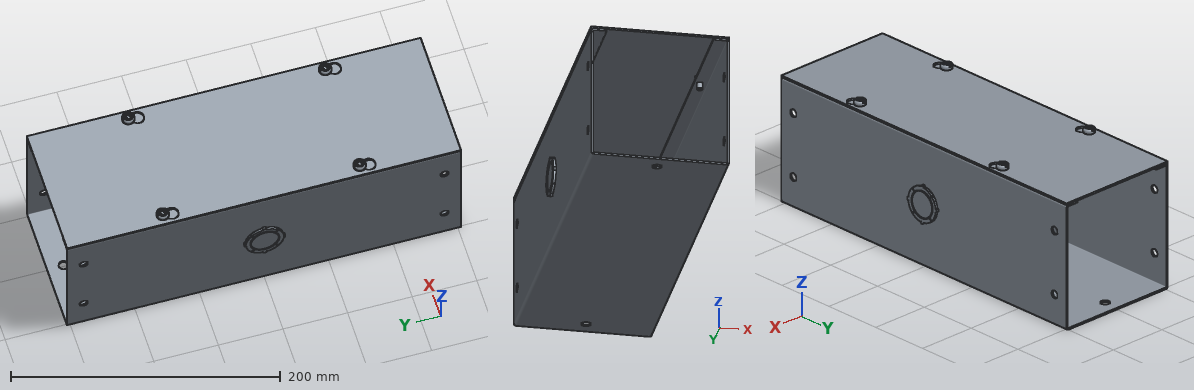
import cadquery as cq
import math

length = 304.8
overall_width = 108.2
overall_height = 108.8
knockout_height = 1.98
width = overall_width - 2 * knockout_height
sheet = 1.5
tray_height = 103.0
bend_outer = 2.0
bend_inner = bend_outer - sheet
flange_width = 12.0

end_hole_inset = 12.8
side_hole_diameter = 6.5
side_hole_spacing = 52.5
floor_hole_diameter = 7.3

knockout_radius = 14.5
knockout_groove_radius = 11.0
knockout_groove_width = 0.5
knockout_groove_depth = 0.3
nub_tip_radius = 16.0
nub_radius = 1.5
nub_count = 4
slit_width = 0.5
slit_count = 4
slit_start_angle = 45

screw_x = 44.5
screw_y = 76.2
shank_diameter = 4.5
shank_length = 8.2
shank_chamfer = 0.5
head_diameter = 9.5
head_height = overall_height - tray_height - sheet
head_rim_height = 1.8
head_top_diameter = 6.7
head_chamfer = 0.5
slot_width = 1.8
slot_depth = 1.5
cross_length = 4.3
cross_width = 2.5
keyhole_offset = 7.0
keyhole_diameter = 10.0

cover_top = tray_height + sheet
middle_z = tray_height / 2
screw_places = [(sx * screw_x, sy * screw_y) for sx in (-1, 1) for sy in (-1, 1)]


def make_knockout(side):
    """Raised disc with edge nubs, a ring groove and diagonal slits, on the wall at side * X."""
    base = cq.Workplane("YZ")
    groove_outer = knockout_groove_radius + knockout_groove_width / 2
    groove_inner = knockout_groove_radius - knockout_groove_width / 2
    disc = base.circle(knockout_radius).extrude(knockout_height)
    nubs = (
        base.polarArray(nub_tip_radius - nub_radius, 0, 360, nub_count)
        .circle(nub_radius).extrude(knockout_height)
    )
    groove = (
        base.workplane(offset=knockout_height - knockout_groove_depth)
        .circle(groove_outer).circle(groove_inner).extrude(knockout_groove_depth)
    )
    slit_length = knockout_radius - groove_outer
    slits = (
        base.polarArray(groove_outer + slit_length / 2, slit_start_angle, 360, slit_count)
        .rect(slit_length, slit_width).extrude(knockout_height)
    )
    knockout = disc.union(nubs).cut(groove).cut(slits)
    if side < 0:
        knockout = knockout.mirror("YZ")
    return knockout.translate((side * width / 2, 0, middle_z))


def make_tray():
    """Bent channel with a floor, two side walls and two inward top flanges."""
    outer = (
        cq.Workplane("XY").box(width, length, tray_height, centered=(True, True, False))
        .edges("|Y").fillet(bend_outer)
    )
    inner = (
        cq.Workplane("XY", origin=(0, 0, sheet))
        .box(width - 2 * sheet, length, tray_height - 2 * sheet, centered=(True, True, False))
        .edges("|Y").fillet(bend_inner)
    )
    opening = (
        cq.Workplane("XY", origin=(0, 0, middle_z))
        .box(width - 2 * flange_width, length, tray_height, centered=(True, True, False))
    )
    tray = outer.cut(inner).cut(opening)

    end_y = length / 2 - end_hole_inset
    side_holes = (
        cq.Workplane("YZ", origin=(0, 0, middle_z))
        .rect(2 * end_y, side_hole_spacing, forConstruction=True).vertices()
        .circle(side_hole_diameter / 2).extrude(width, both=True)
    )
    floor_holes = (
        cq.Workplane("XY").pushPoints([(0, -end_y), (0, end_y)])
        .circle(floor_hole_diameter / 2).extrude(sheet)
    )
    screw_holes = (
        cq.Workplane("XY", origin=(0, 0, middle_z)).pushPoints(screw_places)
        .circle(shank_diameter / 2).extrude(tray_height)
    )
    tray = tray.cut(side_holes).cut(floor_holes).cut(screw_holes)
    for side in (-1, 1):
        tray = tray.union(make_knockout(side))
    return tray


def make_cover():
    """Flat plate with a keyhole at each screw, wide end towards -Y."""
    cover = (
        cq.Workplane("XY", origin=(0, 0, tray_height))
        .box(width, length, sheet, centered=(True, True, False))
    )
    for x, y in screw_places:
        base = cq.Workplane("XY", origin=(x, y, tray_height))
        narrow_end = base.circle(shank_diameter / 2).extrude(sheet)
        neck = (
            base.center(0, -keyhole_offset / 2)
            .rect(shank_diameter, keyhole_offset).extrude(sheet)
        )
        wide_end = base.center(0, -keyhole_offset).circle(keyhole_diameter / 2).extrude(sheet)
        cover = cover.cut(narrow_end).cut(neck).cut(wide_end)
    return cover


def make_screw(x, y):
    """Domed-head screw with a through slot along Y crossed by a short slot along X."""
    shank_radius = shank_diameter / 2
    head_radius = head_diameter / 2
    top_radius = head_top_diameter / 2
    dome_middle_angle = math.radians(45)
    dome_middle_radius = top_radius + (head_radius - top_radius) * math.sin(dome_middle_angle)
    dome_height = head_height - head_rim_height
    dome_middle_z = head_rim_height + dome_height * math.sin(dome_middle_angle)
    screw = (
        cq.Workplane("XZ")
        .moveTo(0, -shank_length)
        .lineTo(shank_radius - shank_chamfer, -shank_length)
        .lineTo(shank_radius, shank_chamfer - shank_length)
        .lineTo(shank_radius, 0)
        .lineTo(head_radius - head_chamfer, 0)
        .lineTo(head_radius, head_chamfer)
        .lineTo(head_radius, head_rim_height)
        .threePointArc((dome_middle_radius, dome_middle_z), (top_radius, head_height))
        .lineTo(0, head_height)
        .close()
        .revolve(360, (0, 0, 0), (0, 1, 0))
    )
    slot_floor = cq.Workplane("XY", origin=(0, 0, head_height - slot_depth))
    slot = slot_floor.rect(slot_width, head_diameter).extrude(slot_depth)
    cross = slot_floor.rect(cross_length, cross_width).extrude(slot_depth)
    return screw.cut(slot.union(cross)).translate((x, y, cover_top))


tray = make_tray()
cover = make_cover()
screws = [make_screw(x, y) for x, y in screw_places]

result = cq.Compound.makeCompound([tray.val(), cover.val(), *[screw.val() for screw in screws]])